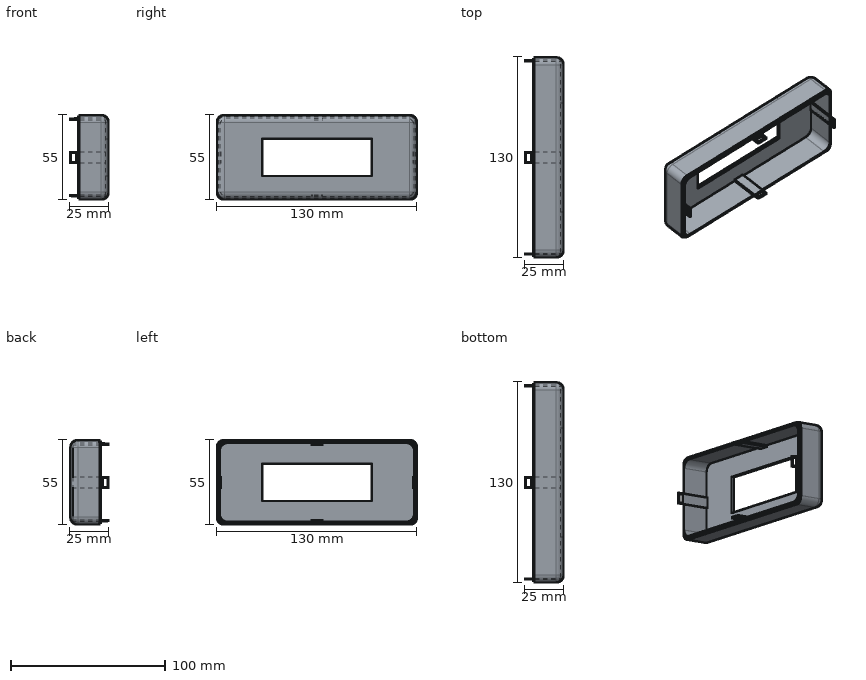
import cadquery as cq

total_depth = 25.0
length = 130.0
height = 55.0

clip_reach = 5.0
lip_depth = 1.0
lip_inset = 1.0
wall = 2.0
corner_radius = 5.0
cavity_radius = 5.0
front_round = 5.0

window_length = 70.8
window_height = 24.0

clip_width = 7.0
end_clip_thickness = 0.8
long_clip_thickness = 1.2
clip_frame = 0.6
slot_end = 3.6
long_clip_relief = 0.4

rim_x = clip_reach
step_x = rim_x + lip_depth
floor_x = total_depth - wall
cavity_length = length - 2 * wall
cavity_height = height - 2 * wall


def rounded_block(x_start, x_end, y_size, z_size, radius):
    """Block centred on the X axis, with its edges along X rounded."""
    block = cq.Workplane("YZ", origin=(x_start, 0, 0)).rect(y_size, z_size).extrude(x_end - x_start)
    return block.edges("|X").fillet(radius)


def make_shell():
    body = rounded_block(step_x, total_depth, length, height, corner_radius)
    body = body.faces(">X").edges().fillet(front_round)
    lip = rounded_block(
        rim_x, step_x, length - 2 * lip_inset, height - 2 * lip_inset, corner_radius - lip_inset
    )
    cavity = rounded_block(rim_x, floor_x, cavity_length, cavity_height, cavity_radius)
    window = cq.Workplane("YZ", origin=(floor_x, 0, 0)).rect(window_length, window_height).extrude(wall)
    return body.union(lip).cut(cavity).cut(window)


def make_clip(wall_distance, thickness, tip_relief):
    """Clip lying against the upper cavity wall, tapered towards the tip, with a rectangular slot."""
    inner_z = wall_distance - thickness
    outline = [
        (0, inner_z),
        (floor_x, inner_z),
        (floor_x, wall_distance),
        (rim_x, wall_distance),
        (0, wall_distance - tip_relief),
    ]
    clip = cq.Workplane("XZ").polyline(outline).close().extrude(clip_width / 2, both=True)
    slot = (
        cq.Workplane("XY", origin=(0, 0, inner_z))
        .center((clip_frame + slot_end) / 2, 0)
        .rect(slot_end - clip_frame, clip_width - 2 * clip_frame)
        .extrude(wall_distance - inner_z)
    )
    return clip.cut(slot)


long_side_clip = make_clip(cavity_height / 2, long_clip_thickness, long_clip_relief)
end_clip = make_clip(cavity_length / 2, end_clip_thickness, 0)

result = make_shell()
for clip, angles in ((long_side_clip, (0, 180)), (end_clip, (90, -90))):
    for angle in angles:
        result = result.union(clip.rotate((0, 0, 0), (1, 0, 0), angle))